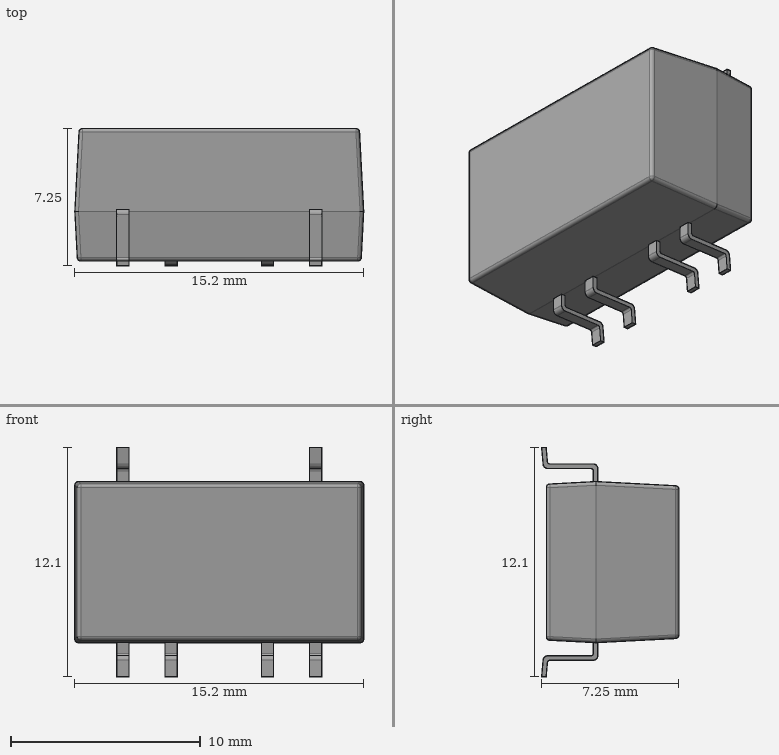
import cadquery as cq
import math

body_length = 15.24
body_height = 8.505
front_depth = 2.625
back_depth = 4.375
draft_angle = 3.0
edge_radius = 0.2

lead_width = 0.65
lead_thickness = 0.25
lead_embed = 0.5
stem_back_offset = 0.1
overall_height = 12.1
foot_overhang = 0.25
foot_height = 0.87
foot_lean_angle = 5.0
outer_bend_radius = 0.26
inner_bend_radius = 0.12

pitch = 2.54
top_lead_positions = [-2 * pitch, 2 * pitch]
bottom_lead_positions = [-2 * pitch, -pitch, pitch, 2 * pitch]


def drafted_half(depth, direction):
    """Half of the body, narrowing away from the parting plane along Y."""
    inset = depth * math.tan(math.radians(draft_angle))
    return (
        cq.Workplane("XZ")
        .rect(body_length, body_height)
        .workplane(offset=-direction * depth)
        .rect(body_length - 2 * inset, body_height - 2 * inset)
        .loft(ruled=True)
    )


def make_body():
    """Both halves joined, with every edge rounded except the parting line."""
    body = drafted_half(front_depth, -1).union(drafted_half(back_depth, 1))
    off_parting_plane = edge_radius / 2
    rounded_edges = body.edges().filter(lambda edge: abs(edge.Center().y) > off_parting_plane)
    return rounded_edges.fillet(edge_radius)


def make_top_lead():
    """Z-shaped lead rising from the top of the body, centred on X = 0."""
    tip_z = overall_height / 2
    arm_top = tip_z - foot_height
    arm_bottom = arm_top - lead_thickness
    stem_back = stem_back_offset
    stem_front = stem_back - lead_thickness
    start_z = body_height / 2 - lead_embed

    lean = math.tan(math.radians(foot_lean_angle))
    tip_front = -(front_depth + foot_overhang)
    tip_back = tip_front + lead_thickness
    heel_front = tip_front + (tip_z - arm_bottom) * lean
    heel_back = tip_back + (tip_z - arm_top) * lean

    outline = [
        (stem_back, start_z),
        (stem_back, arm_top),
        (heel_back, arm_top),
        (tip_back, tip_z),
        (tip_front, tip_z),
        (heel_front, arm_bottom),
        (stem_front, arm_bottom),
        (stem_front, start_z),
    ]
    lead = cq.Workplane("YZ").polyline(outline).close().extrude(lead_width / 2, both=True)

    bends = [
        ((stem_back, arm_top), outer_bend_radius),
        ((stem_front, arm_bottom), inner_bend_radius),
        ((heel_back, arm_top), inner_bend_radius),
        ((heel_front, arm_bottom), outer_bend_radius),
    ]
    for (y, z), radius in bends:
        corner = cq.selectors.NearestToPointSelector((0, y, z))
        lead = lead.edges("|X").edges(corner).fillet(radius)
    return lead


top_lead = make_top_lead()
bottom_lead = top_lead.mirror("XY")

result = make_body()
for x in top_lead_positions:
    result = result.union(top_lead.translate((x, 0, 0)))
for x in bottom_lead_positions:
    result = result.union(bottom_lead.translate((x, 0, 0)))